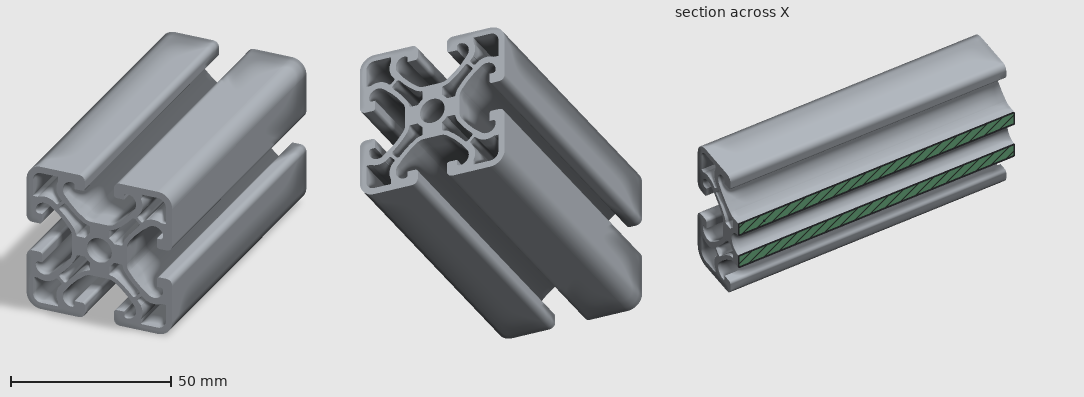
import cadquery as cq
import math

LENGTH = 100.0
SIDE = 50.0
HALF_SIDE = SIDE / 2
CORNER_RADIUS = 5.0
WALL = 2.2
BORE_DIAMETER = 8.5

MOUTH_HALF_WIDTH = 5.0
MOUTH_EDGE_RADIUS = 2.0
LIP_THICKNESS = 5.3
LIP_WIDTH = 3.5
LIP_EDGE_RADIUS = 0.9
HOOK_CENTER_X = 9.5
HOOK_CENTER_Z = 18.8
HOOK_RADIUS = 3.1
HOOK_END_RADIUS = 1.0
FLOOR_Z = 9.4
FLOOR_RADIUS = 4.0
FLANK_RADIUS = 28.0
FLANK_TOP_SLOPE = math.radians(55)

FLANK_CENTER_X = HOOK_CENTER_X - (FLANK_RADIUS - HOOK_RADIUS) * math.sin(FLANK_TOP_SLOPE)
FLANK_CENTER_Z = HOOK_CENTER_Z + (FLANK_RADIUS - HOOK_RADIUS) * math.cos(FLANK_TOP_SLOPE)
FLANK_FOOT_SLOPE = math.acos(
    (FLANK_CENTER_Z - FLOOR_Z - FLOOR_RADIUS) / (FLANK_RADIUS - FLOOR_RADIUS)
)
FLOOR_HALF_WIDTH = FLANK_CENTER_X + (FLANK_RADIUS - FLOOR_RADIUS) * math.sin(FLANK_FOOT_SLOPE)

RIB = 1.5
POCKET_SIDE_X = 14.2
POCKET_TIP = 13.7
NECK_OVERLAP = 2.0
POCKET_TIP_RADIUS = 0.6
CHANNEL_SIDE = 3.3
CHANNEL_TIP = 13.0
CHANNEL_TIP_RADIUS = 0.8
CHANNEL_CORNER_RADIUS = 0.5
BORE_WEB_RADIUS = 6.0

EDGE_REACH = 2.0


def extrude(outline):
    """Extrude a closed XZ outline over the full length, centred on Y = 0."""
    return outline.extrude(LENGTH / 2, both=True)


def disc(x, z, radius):
    return extrude(cq.Workplane("XZ").center(x, z).circle(radius))


def flank_point(slope, offset):
    """Point where the flank arc, grown by offset, has the given slope."""
    radius = FLANK_RADIUS + offset
    return (
        FLANK_CENTER_X + radius * math.sin(slope),
        FLANK_CENTER_Z - radius * math.cos(slope),
    )


def trough_half(offset):
    """Start the right half of the slot outline: floor, floor arc and flank arc, grown by offset."""
    return (
        cq.Workplane("XZ")
        .moveTo(0, FLOOR_Z - offset)
        .lineTo(FLOOR_HALF_WIDTH, FLOOR_Z - offset)
        .tangentArcPoint(flank_point(FLANK_FOOT_SLOPE, offset), relative=False)
        .tangentArcPoint(flank_point(FLANK_TOP_SLOPE, offset), relative=False)
    )


def slot():
    """Full slot opening towards +Z, with hooked undercuts and rounded lips."""
    lip_z = HALF_SIDE - LIP_THICKNESS
    hook_x = MOUTH_HALF_WIDTH + LIP_WIDTH
    hook_top_z = HOOK_CENTER_Z + HOOK_RADIUS
    half = (
        trough_half(0)
        .tangentArcPoint((HOOK_CENTER_X, hook_top_z), relative=False)
        .tangentArcPoint((hook_x, hook_top_z - HOOK_END_RADIUS), relative=False)
        .lineTo(hook_x, lip_z)
        .lineTo(MOUTH_HALF_WIDTH + LIP_EDGE_RADIUS, lip_z)
        .tangentArcPoint((MOUTH_HALF_WIDTH, lip_z + LIP_EDGE_RADIUS), relative=False)
        .lineTo(MOUTH_HALF_WIDTH, HALF_SIDE - MOUTH_EDGE_RADIUS)
        .tangentArcPoint((MOUTH_HALF_WIDTH + MOUTH_EDGE_RADIUS, HALF_SIDE), relative=False)
        .lineTo(0, HALF_SIDE)
        .close()
    )
    right = extrude(half)
    return right.union(right.mirror("YZ"))


def mirror_diagonal(body):
    """Swap X and Z of a body that is symmetric in Y."""
    return body.mirror("YZ").rotate((0, 0, 0), (0, 1, 0), 90)


def square(low, high):
    """Square bar from (low, low) to (high, high) in XZ."""
    middle = (low + high) / 2
    return extrude(cq.Workplane("XZ").center(middle, middle).rect(high - low, high - low))


def inside_diagonal(reach):
    """Triangular bar between the axes and the line square to the diagonal through (reach, reach)."""
    return extrude(cq.Workplane("XZ").lineTo(2 * reach, 0).lineTo(0, 2 * reach).close())


def edges_near(x, z):
    """Selector for edges along Y close to (x, z)."""
    low = (x - EDGE_REACH, -LENGTH, z - EDGE_REACH)
    high = (x + EDGE_REACH, LENGTH, z + EDGE_REACH)
    return cq.selectors.BoxSelector(low, high)


def corner_pocket():
    """Hollow in the +X +Z corner, narrowing between the two hooks."""
    inner = HALF_SIDE - WALL
    wall_radius = HOOK_RADIUS + WALL
    lobe = square(POCKET_SIDE_X, inner)
    lobe = lobe.edges("|Y").edges(edges_near(inner, inner)).fillet(CORNER_RADIUS - WALL)
    neck = square(POCKET_TIP - NECK_OVERLAP, POCKET_SIDE_X + NECK_OVERLAP)
    body = lobe.union(neck).cut(inside_diagonal(POCKET_TIP))
    body = body.cut(disc(HOOK_CENTER_X, HOOK_CENTER_Z, wall_radius))
    body = body.cut(disc(HOOK_CENTER_Z, HOOK_CENTER_X, wall_radius))
    return body.edges("|Y").edges(edges_near(POCKET_TIP, POCKET_TIP)).fillet(POCKET_TIP_RADIUS)


def diagonal_channel():
    """Hollow between the bore and the corner pocket, one rib away from both slots."""
    trough = extrude(trough_half(RIB).lineTo(0, HALF_SIDE).close())
    body = square(CHANNEL_SIDE, HALF_SIDE).intersect(inside_diagonal(CHANNEL_TIP))
    body = body.cut(trough).cut(mirror_diagonal(trough)).cut(disc(0, 0, BORE_WEB_RADIUS))
    body = body.edges("|Y").edges(edges_near(CHANNEL_TIP, CHANNEL_TIP)).fillet(CHANNEL_TIP_RADIUS)
    inner = FLOOR_Z - RIB
    for x, z in ((CHANNEL_SIDE, inner), (inner, CHANNEL_SIDE)):
        body = body.edges("|Y").edges(edges_near(x, z)).fillet(CHANNEL_CORNER_RADIUS)
    return body


result = square(-HALF_SIDE, HALF_SIDE).edges("|Y").fillet(CORNER_RADIUS)
result = result.cut(disc(0, 0, BORE_DIAMETER / 2))
quarter_cutters = [slot(), corner_pocket(), diagonal_channel()]
for quarter in range(4):
    for cutter in quarter_cutters:
        result = result.cut(cutter.rotate((0, 0, 0), (0, 1, 0), 90 * quarter))